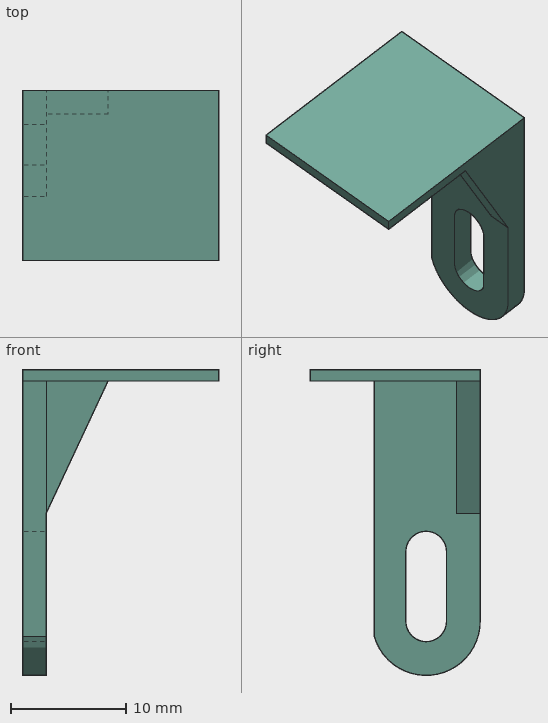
import cadquery as cq
import math

plate_length = 17.0
plate_width = 14.75
plate_thickness = 1.0
total_height = 26.53
leg_thickness = 2.05
leg_width = 9.2
end_radius = 4.7
slot_radius = 1.75
slot_travel = 6.05
gusset_length = 5.35
gusset_height = 11.45
gusset_thickness = 2.05

leg_front = plate_width - leg_width
plate_underside = total_height - plate_thickness

end_center_y = plate_width - end_radius
end_center_z = end_radius
front_offset = end_center_y - leg_front
arc_front_z = end_center_z - math.sqrt(end_radius**2 - front_offset**2)


def make_plate():
    return cq.Workplane("XY").workplane(offset=plate_underside).rect(
        plate_length, plate_width
    ).extrude(plate_thickness).translate((plate_length / 2, plate_width / 2, 0))


def make_leg():
    """Upright strip with a rounded lower end and a vertical slot."""
    strip = (
        cq.Workplane("YZ")
        .moveTo(leg_front, total_height)
        .lineTo(leg_front, arc_front_z)
        .threePointArc((end_center_y, 0), (plate_width, end_center_z))
        .lineTo(plate_width, total_height)
        .close()
        .extrude(leg_thickness)
    )
    slot = (
        cq.Workplane("YZ")
        .center(end_center_y, end_center_z + slot_travel / 2)
        .slot2D(slot_travel + 2 * slot_radius, 2 * slot_radius, 90)
        .extrude(leg_thickness)
    )
    return strip.cut(slot)


def make_gusset():
    """Triangular rib in the inner corner, flush with the back edge."""
    return (
        cq.Workplane("XZ", origin=(0, plate_width, 0))
        .moveTo(leg_thickness, plate_underside)
        .lineTo(leg_thickness + gusset_length, plate_underside)
        .lineTo(leg_thickness, plate_underside - gusset_height)
        .close()
        .extrude(gusset_thickness)
    )


result = make_plate().union(make_leg()).union(make_gusset())